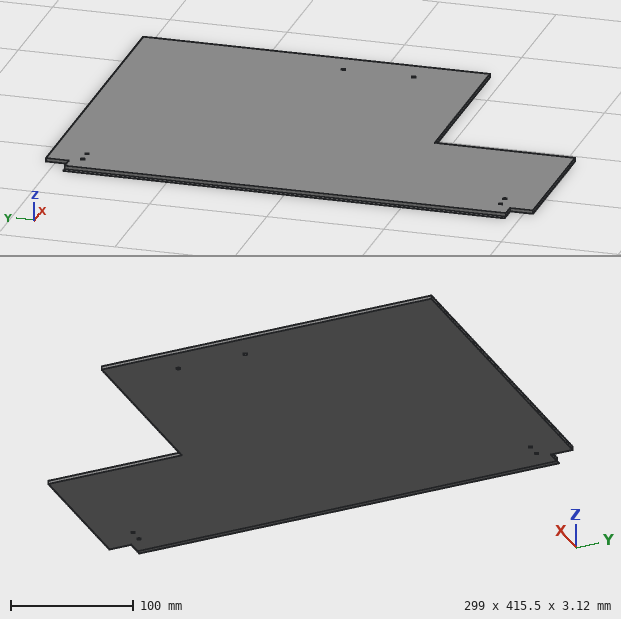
import cadquery as cq

LENGTH_X = 299.0
LENGTH_Y = 415.5
PLATE_THICKNESS = 3.0
FILM_THICKNESS = 0.12

FILM_MARGIN = 4.0

CORNER_NOTCH_X = 16.0
CORNER_NOTCH_Y = 19.5
STEP_X = 160.5
STEP_Y = 119.5

LEFT_HOLE_DIAMETER = 3.0
RIGHT_HOLE_DIAMETER = 3.5
LEFT_HOLE_COLUMNS = (23.0, 35.0)
LEFT_HOLE_INSET_Y = 29.5
RIGHT_HOLE_INSET_X = 24.0
RIGHT_HOLE_ROWS = (177.7, 237.5)

LEFT_HOLES = [
    (x, y)
    for x in LEFT_HOLE_COLUMNS
    for y in (LEFT_HOLE_INSET_Y, LENGTH_Y - LEFT_HOLE_INSET_Y)
]
RIGHT_HOLES = [(LENGTH_X - RIGHT_HOLE_INSET_X, y) for y in RIGHT_HOLE_ROWS]


def make_drills(centers, diameter, base_z, height):
    """Upright cylinders that cut round holes at the given centers."""
    base = cq.Workplane("XY").workplane(offset=base_z)
    return base.pushPoints(centers).circle(diameter / 2).extrude(height)


def make_sheet(left, base_z, thickness):
    """Drilled sheet with two notched left corners and a cut-away lower right corner."""
    right_of_step = LENGTH_X - STEP_X
    outline = [
        (CORNER_NOTCH_X, 0),
        (right_of_step, 0),
        (right_of_step, STEP_Y),
        (LENGTH_X, STEP_Y),
        (LENGTH_X, LENGTH_Y),
        (CORNER_NOTCH_X, LENGTH_Y),
        (CORNER_NOTCH_X, LENGTH_Y - CORNER_NOTCH_Y),
        (left, LENGTH_Y - CORNER_NOTCH_Y),
        (left, CORNER_NOTCH_Y),
        (CORNER_NOTCH_X, CORNER_NOTCH_Y),
    ]
    blank = cq.Workplane("XY").workplane(offset=base_z).polyline(outline).close().extrude(thickness)
    left_drills = make_drills(LEFT_HOLES, LEFT_HOLE_DIAMETER, base_z, thickness)
    right_drills = make_drills(RIGHT_HOLES, RIGHT_HOLE_DIAMETER, base_z, thickness)
    return blank.cut(left_drills).cut(right_drills)


film = make_sheet(0, 0, FILM_THICKNESS)
plate = make_sheet(FILM_MARGIN, FILM_THICKNESS, PLATE_THICKNESS)

result = cq.Compound.makeCompound([film.val(), plate.val()])